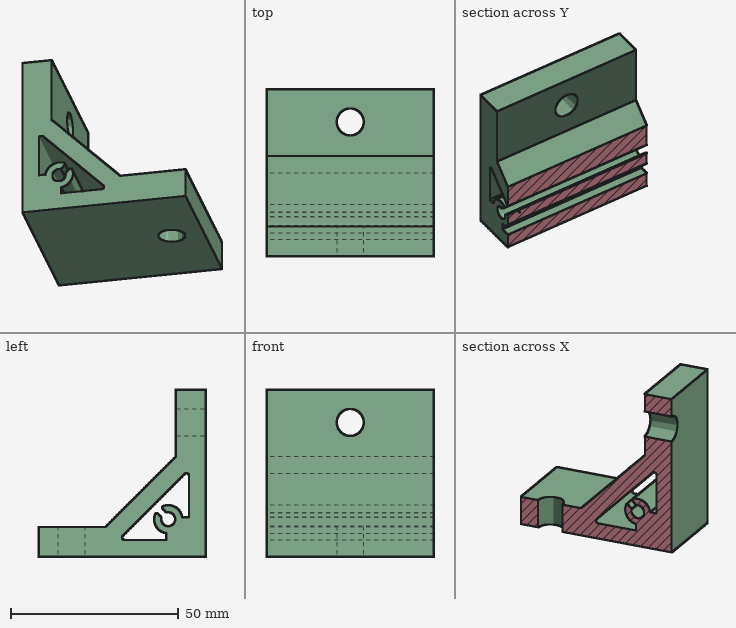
import cadquery as cq
import math

size = 50.0
plate_thickness = 9.0
brace_reach = 30.0

pocket_wall = 5.1
pocket_reach = 25.0
pocket_fillet = 0.7

block_size = 11.9
clip_center = 11.25
clip_outer_radius = 4.25
clip_bore_radius = 2.05
clip_gap = 2.0
clip_tip_fillet = 0.55

hole_diameter = 8.0
hole_distance = 40.2


def make_bracket():
    """L-shaped profile with a diagonal brace, extruded along X."""
    outline = [
        (0, 0),
        (size, 0),
        (size, plate_thickness),
        (brace_reach, plate_thickness),
        (plate_thickness, brace_reach),
        (plate_thickness, size),
        (0, size),
    ]
    return cq.Workplane("YZ").polyline(outline).close().extrude(size)


def make_pocket():
    """Right triangular void whose two acute ends are rounded."""
    sharp_reach = pocket_reach + math.sqrt(2) * pocket_fillet
    outline = [
        (pocket_wall, pocket_wall),
        (sharp_reach, pocket_wall),
        (pocket_wall, sharp_reach),
    ]
    pocket = cq.Workplane("YZ").polyline(outline).close().extrude(size)
    for y, z in outline[1:]:
        corner_edge = cq.selectors.NearestToPointSelector((size / 2, y, z))
        pocket = pocket.edges("|X").edges(corner_edge).fillet(pocket_fillet)
    return pocket


def make_clip():
    """Corner block carrying a round clip that opens toward the brace."""
    ring = (
        cq.Workplane("YZ").center(clip_center, clip_center)
        .circle(clip_outer_radius).circle(clip_bore_radius).extrude(size)
    )
    gap = (
        cq.Workplane("YZ").center(clip_center, clip_center)
        .transformed(rotate=(0, 0, 45))
        .center(clip_outer_radius / 2, 0)
        .rect(clip_outer_radius, clip_gap).extrude(size)
    )
    ring = ring.cut(gap)

    tip_angle = math.asin(clip_gap / 2 / clip_outer_radius)
    for angle in (math.pi / 4 - tip_angle, math.pi / 4 + tip_angle):
        tip_y = clip_center + clip_outer_radius * math.cos(angle)
        tip_z = clip_center + clip_outer_radius * math.sin(angle)
        tip_edge = cq.selectors.NearestToPointSelector((size / 2, tip_y, tip_z))
        ring = ring.edges("|X").edges(tip_edge).fillet(clip_tip_fillet)

    block = cq.Workplane("YZ").rect(block_size, block_size, centered=False).extrude(size)
    bore = (
        cq.Workplane("YZ").center(clip_center, clip_center)
        .circle(clip_bore_radius).extrude(size)
    )
    return block.union(ring).cut(bore)


def make_mounting_holes():
    """One cylinder through the base and one through the wall."""
    radius = hole_diameter / 2
    base_hole = cq.Solid.makeCylinder(
        radius, plate_thickness, cq.Vector(size / 2, hole_distance, 0), cq.Vector(0, 0, 1)
    )
    wall_hole = cq.Solid.makeCylinder(
        radius, plate_thickness, cq.Vector(size / 2, 0, hole_distance), cq.Vector(0, 1, 0)
    )
    return cq.Workplane(base_hole).add(wall_hole).combine()


result = make_bracket().cut(make_pocket().cut(make_clip())).cut(make_mounting_holes())